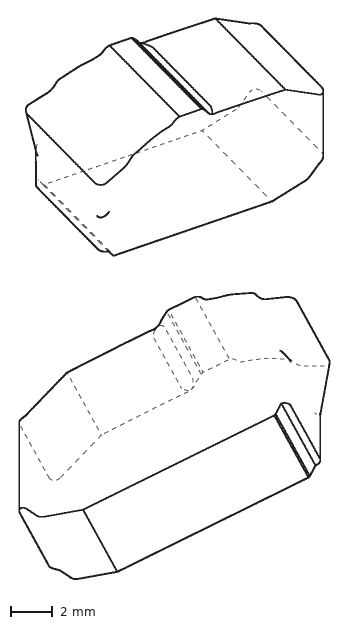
import cadquery as cq
import math

length = 14.0
height = 11.24
body_width = 5.45
corner_radius = 0.39

front_y = 0.39
bend_z = 6.75
front_foot_z = 4.17
tip_z = 10.01

flare_top_y = 3.98
flare_top_z = 10.96
flare_slope = 0.132
flare_reach = 4.2

saddle_front = (6.78, 10.2)
saddle_back = (7.34, 9.73)
saddle_sag = 0.11
pad_taper = 0.46

half_width = body_width / 2
stock_width = 2 * body_width
edge_margin = 0.01


def sagged_middle(start, end, sag):
    """Point below the middle of a chord that runs backward and down."""
    dy = end[0] - start[0]
    dz = end[1] - start[1]
    chord = math.hypot(dy, dz)
    middle_y = (start[0] + end[0]) / 2 + sag * dz / chord
    middle_z = (start[1] + end[1]) / 2 - sag * dy / chord
    return (middle_y, middle_z)


def side_profile(width, foot_y, head_y):
    """Side outline in (Y, Z) with a straight front from foot to head, extruded evenly about X = 0."""
    saddle_middle = sagged_middle(saddle_front, saddle_back, saddle_sag)
    return (
        cq.Workplane("YZ")
        .moveTo(foot_y, front_foot_z)
        .lineTo(head_y, tip_z)
        .lineTo(1.33, 10.2)
        .threePointArc((1.64, 10.29), (1.86, 10.49))
        .lineTo(1.93, 10.57)
        .threePointArc((2.05, 10.7), (2.2, 10.77))
        .lineTo(3.2, 10.95)
        .lineTo(3.36, flare_top_z)
        .lineTo(4.4, flare_top_z)
        .threePointArc((4.58, 11.0), (4.7, 11.1))
        .threePointArc((4.87, 11.21), (5.07, height))
        .lineTo(6.4, 10.77)
        .lineTo(6.5, 10.68)
        .lineTo(*saddle_front)
        .threePointArc(saddle_middle, saddle_back)
        .lineTo(8.7, 9.24)
        .lineTo(11.35, 8.23)
        .lineTo(11.5, 8.18)
        .lineTo(13.52, 6.15)
        .tangentArcPoint((length, 5.95), relative=False)
        .lineTo(length, 0.8)
        .threePointArc((13.73, 0.77), (13.52, 0.66))
        .lineTo(13.05, 0.18)
        .threePointArc((12.85, 0.04), (12.63, 0))
        .lineTo(10.68, 0)
        .lineTo(1.09, 3.49)
        .lineTo(1.02, 3.55)
        .lineTo(0.74, 4.12)
        .close()
        .extrude(width / 2, both=True)
    )


def crease_workplane():
    """Plane across the flare lines: first axis out of the crease plane, second axis along X."""
    run = cq.Vector(0, flare_top_y - front_y, flare_top_z - bend_z).normalized()
    across = cq.Vector(0, -run.z, run.y)
    return cq.Workplane(cq.Plane(origin=(0, front_y, bend_z), xDir=across, normal=run))


def flare_wedge():
    """Wedge widening forward and upward, continued below the crease plane for corner rounding."""
    spread = flare_slope * flare_reach
    return (
        crease_workplane()
        .moveTo(-flare_reach, -half_width + spread)
        .lineTo(flare_reach, -half_width - spread)
        .lineTo(flare_reach, half_width + spread)
        .lineTo(-flare_reach, half_width - spread)
        .close()
        .extrude(length, both=True)
    )


def crease_half_space():
    """Block filling everything above the crease plane."""
    return (
        crease_workplane()
        .center(flare_reach / 2, 0)
        .rect(flare_reach, stock_width)
        .extrude(length, both=True)
    )


def saddle_pad():
    """Flat-topped filler in the saddle, its ends sloping down to the side faces."""
    middle = sagged_middle(saddle_front, saddle_back, saddle_sag)
    segment = (
        cq.Workplane("YZ")
        .moveTo(*saddle_front)
        .threePointArc(middle, saddle_back)
        .close()
        .extrude(half_width, both=True)
    )
    chord = cq.Vector(0, saddle_front[0] - saddle_back[0], saddle_front[1] - saddle_back[1])
    end_plane = cq.Plane(origin=(0, *middle), xDir=(1, 0, 0), normal=chord.normalized())
    tapered = (
        cq.Workplane(end_plane)
        .moveTo(-half_width, 0)
        .lineTo(half_width, 0)
        .lineTo(half_width - pad_taper, saddle_sag)
        .lineTo(-half_width + pad_taper, saddle_sag)
        .close()
        .extrude(length, both=True)
    )
    return segment.intersect(tapered)


def round_corners(solid, y_low, y_high):
    """Round the upright corner edges lying between two Y positions."""
    box = cq.selectors.BoxSelector(
        (-stock_width, y_low, 0), (stock_width, y_high, height), boundingbox=True
    )
    return solid.edges(box).edges("not |X").fillet(corner_radius)


def shank():
    """Parallel-sided body below the crease plane, with rounded front and rear corners."""
    body = side_profile(body_width, front_y, front_y)
    body = round_corners(body, front_y - edge_margin, front_y + edge_margin)
    body = round_corners(body, length - edge_margin, length + edge_margin)
    return body


def flared_nose():
    """Leaning, outward-flaring front above the crease plane, with rounded corners."""
    foot_y = front_y * (tip_z - front_foot_z) / (tip_z - bend_z)
    nose = side_profile(stock_width, foot_y, 0).intersect(flare_wedge())
    nose = round_corners(nose, -edge_margin, foot_y + edge_margin)
    return nose.intersect(crease_half_space())


result = shank().cut(crease_half_space()).union(flared_nose()).union(saddle_pad())